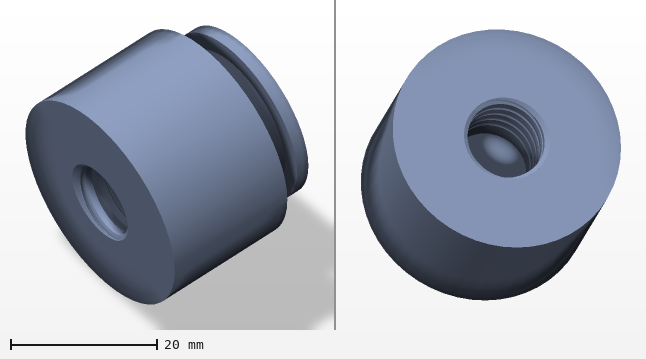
import cadquery as cq
import math

body_diameter = 32.0
body_length = 20.0
neck_diameter = 21.1
neck_length = 4.1
flange_diameter = 26.3
flange_thickness = 2.0

thread_major_diameter = 12.0
thread_minor_diameter = 10.8
thread_lead = 4.0
thread_starts = 2
thread_flank_angle = 33.0
thread_root_width = 0.15
thread_start_angle = 46.0
thread_length = 10.0
hole_depth = 12.0
entry_chamfer_depth = 0.46
groove_overlap = 0.1


def cylinder_along_y(diameter, start, length):
    """Solid cylinder on the Y axis from `start` towards +Y."""
    return cq.Workplane("XZ", origin=(0, start, 0)).circle(diameter / 2).extrude(-length)


def turned_blank():
    """Body, neck and end flange as one stepped cylinder."""
    flange_start = body_length + neck_length
    body = cylinder_along_y(body_diameter, 0, body_length)
    neck = cylinder_along_y(neck_diameter, body_length, neck_length)
    flange = cylinder_along_y(flange_diameter, flange_start, flange_thickness)
    return body.union(neck).union(flange)


def tapped_bore():
    """Core hole with a shallow conical entry chamfer."""
    major_radius = thread_major_diameter / 2
    minor_radius = thread_minor_diameter / 2
    return (
        cq.Workplane("XY")
        .lineTo(major_radius, 0)
        .lineTo(minor_radius, entry_chamfer_depth)
        .lineTo(minor_radius, hole_depth)
        .lineTo(0, hole_depth)
        .close()
        .revolve(360, (0, 0, 0), (0, 1, 0))
    )


def thread_groove(start_angle):
    """One right-handed helical groove with a trapezoidal section, running out through the front face."""
    major_radius = thread_major_diameter / 2
    minor_radius = thread_minor_diameter / 2
    flank_slope = math.tan(math.radians(thread_flank_angle))
    inner_radius = minor_radius - groove_overlap
    half_root = thread_root_width / 2
    half_mouth = half_root + (major_radius - inner_radius) * flank_slope
    helix = cq.Wire.makeHelix(thread_lead, thread_length + thread_lead, minor_radius)
    groove = (
        cq.Workplane("XZ")
        .moveTo(inner_radius, -half_mouth)
        .lineTo(major_radius, -half_root)
        .lineTo(major_radius, half_root)
        .lineTo(inner_radius, half_mouth)
        .close()
        .sweep(cq.Workplane(obj=helix), isFrenet=True)
        .rotate((0, 0, 0), (0, 0, 1), start_angle)
    )
    return groove.rotate((0, 0, 0), (1, 0, 0), -90).translate((0, -thread_lead, 0))


result = turned_blank().cut(tapped_bore())
for start in range(thread_starts):
    result = result.cut(thread_groove(thread_start_angle + start * 360 / thread_starts))